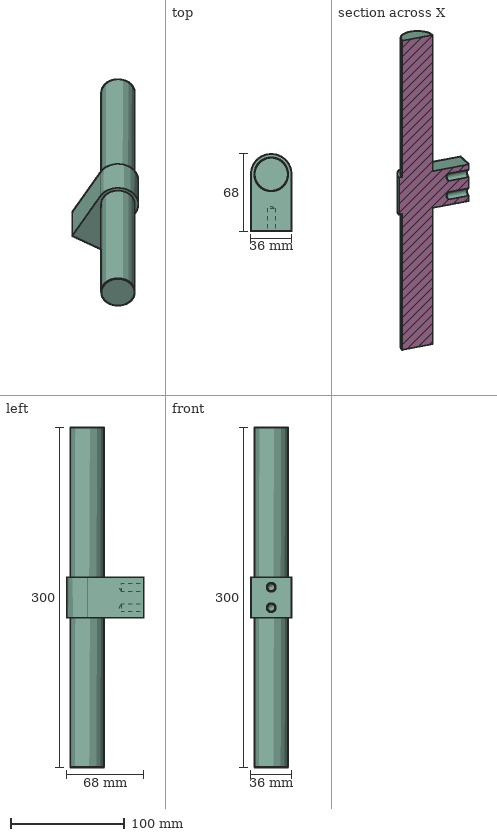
import cadquery as cq
import math

bar_diameter = 30.0
bar_length = 300.0
bar_edge_chamfer = 0.5

block_width = 36.0
block_height = 36.0
block_reach = 50.0

hole_diameter = 6.65
hole_spacing = 18.0
hole_depth = 20.0
drill_tip_angle = 118.0
countersink_diameter = 8.0
countersink_angle = 90.0


def make_bar():
    bar = cq.Workplane("XY").circle(bar_diameter / 2).extrude(bar_length / 2, both=True)
    return bar.faces("<Z or >Z").edges().chamfer(bar_edge_chamfer)


def make_block():
    """Block with a flat mounting face at -Y and a half-round back about the bar axis."""
    half_width = block_width / 2
    return (
        cq.Workplane("XY")
        .moveTo(-half_width, -block_reach)
        .lineTo(half_width, -block_reach)
        .lineTo(half_width, 0)
        .threePointArc((0, half_width), (-half_width, 0))
        .close()
        .extrude(block_height / 2, both=True)
    )


def make_hole_cutter():
    """Revolved shape of one drilled hole, entering the mounting face along +Y."""
    hole_radius = hole_diameter / 2
    countersink_radius = countersink_diameter / 2
    countersink_depth = (countersink_radius - hole_radius) / math.tan(math.radians(countersink_angle / 2))
    tip_length = hole_radius / math.tan(math.radians(drill_tip_angle / 2))
    profile = [
        (0, 0),
        (countersink_radius, 0),
        (hole_radius, countersink_depth),
        (hole_radius, hole_depth),
        (0, hole_depth + tip_length),
    ]
    return cq.Workplane("XY").polyline(profile).close().revolve(360, (0, 0), (0, 1))


def cut_mounting_holes(body):
    cutter = make_hole_cutter()
    for hole_z in (-hole_spacing / 2, hole_spacing / 2):
        body = body.cut(cutter.translate((0, -block_reach, hole_z)))
    return body


result = cut_mounting_holes(make_block().union(make_bar()))